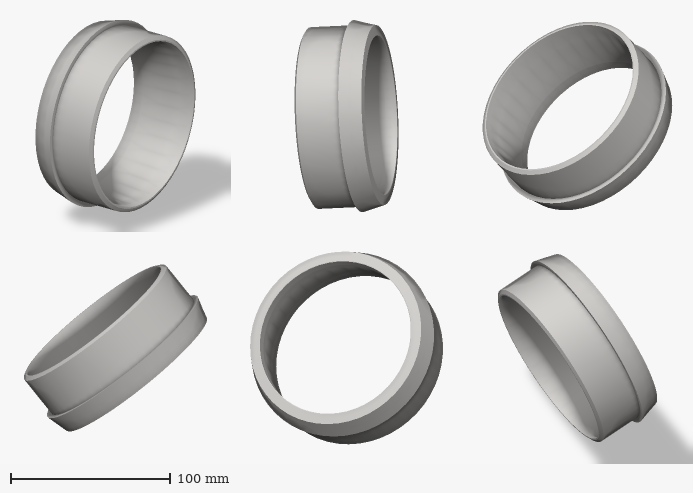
import cadquery as cq
import math

length = 44.0
rim_radius = 60.5

collar_length = 14.8
collar_front_radius = 56.6
face_rise = 0.7

sleeve_radius = 114.3 / 2
lead_length = 1.5
lead_angle = 60
lead_depth = lead_length * math.tan(math.radians(lead_angle))

bore_radius = 100.0 / 2
lip_chamfer_width = 0.4
lip_chamfer_depth = 0.1
flare_start = 7.1
flare_end_radius = 53.7

half_section = (
    cq.Workplane("XY")
    .moveTo(0, bore_radius + lip_chamfer_width)
    .lineTo(face_rise, collar_front_radius)
    .lineTo(collar_length, rim_radius)
    .lineTo(collar_length, sleeve_radius)
    .lineTo(length - lead_length, sleeve_radius)
    .lineTo(length, sleeve_radius - lead_depth)
    .lineTo(length, flare_end_radius)
    .lineTo(flare_start, bore_radius)
    .lineTo(lip_chamfer_depth, bore_radius)
    .close()
)

result = half_section.revolve(360, (0, 0, 0), (1, 0, 0))